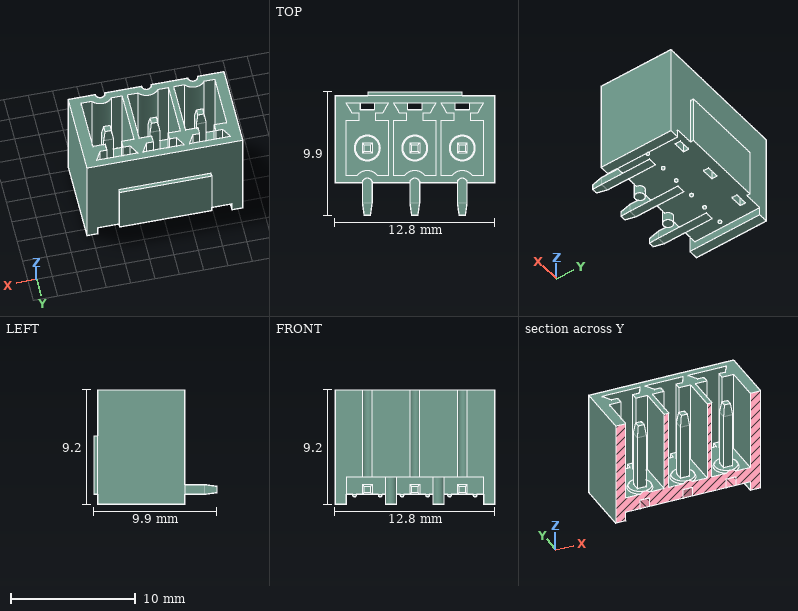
import cadquery as cq

pole_count = 3
pitch = 3.81
pole_offset = -0.02
pole_xs = [pole_offset + (i - (pole_count - 1) / 2) * pitch for i in range(pole_count)]
peg_xs = [(a + b) / 2 for a, b in zip(pole_xs, pole_xs[1:])]

housing_width = 12.82
housing_depth = 7.0
housing_height = 9.2
standoff = 0.8
side_wall = 0.9

flange_width = 7.58
flange_thickness = 0.3
flange_top = 5.5

recess_top = 2.2
recess_depth = 0.5
peg_diameter = 0.9
peg_y = recess_depth

cavity_floor = recess_top
cavity_width = 3.38
well_front = 0.6
well_back = 5.0
neck_width = 1.33
dovetail_front = 5.6
dovetail_back = 6.4
dovetail_narrow_width = 2.46

window_width = 1.13
window_length = 0.52

groove_radius = 0.39
rib_rise = 0.4
rib_width = 1.62

boss_diameter = 2.08
boss_top_diameter = 1.92
boss_height = 0.2

foot_diameter = 0.3
foot_spacing = 2.06
foot_y = housing_depth / 2
foot_straight = 0.05

pin_size = 0.8
pin_tip_size = 0.52
pin_tip_length = 1.0
pin_post_y = 2.8
pin_top = 8.2
pin_tail_reach = 2.6
pin_tail_z = standoff + pin_size / 2


def box(x, y, z):
    """Box between pairs of limits along each axis."""
    size = [limits[1] - limits[0] for limits in (x, y, z)]
    return cq.Workplane("XY").box(*size, centered=False).translate((x[0], y[0], z[0]))


def centred_box(x, width, y, z):
    """Box centred on x, between limits along Y and Z."""
    return box((x - width / 2, x + width / 2), y, z)


def tapered_bar(plane, length):
    """Square bar along the plane's normal, ending in a tapered tip."""
    straight = length - pin_tip_length
    bar = cq.Workplane(plane).rect(pin_size, pin_size).extrude(straight)
    tip = (
        cq.Workplane(plane)
        .workplane(offset=straight)
        .rect(pin_size, pin_size)
        .workplane(offset=pin_tip_length)
        .rect(pin_tip_size, pin_tip_size)
        .loft(combine=True)
    )
    return bar.union(tip)


def make_pin(x):
    post_plane = cq.Plane((x, pin_post_y, standoff), (1, 0, 0), (0, 0, 1))
    tail_start = pin_post_y + pin_size / 2
    tail_plane = cq.Plane((x, tail_start, pin_tail_z), (1, 0, 0), (0, -1, 0))
    post = tapered_bar(post_plane, pin_top - standoff)
    tail = tapered_bar(tail_plane, tail_start + pin_tail_reach)
    return post.union(tail)


def make_cavity(x):
    half_well = cavity_width / 2
    half_neck = neck_width / 2
    half_narrow = dovetail_narrow_width / 2
    half_rib = rib_width / 2
    return (
        cq.Workplane("XY", origin=(x, 0, cavity_floor))
        .moveTo(-half_well, well_front)
        .lineTo(-half_rib, well_front)
        .threePointArc((0, well_front + rib_rise), (half_rib, well_front))
        .lineTo(half_well, well_front)
        .lineTo(half_well, well_back)
        .lineTo(half_neck, well_back)
        .lineTo(half_neck, dovetail_front)
        .lineTo(half_narrow, dovetail_front)
        .lineTo(half_well, dovetail_back)
        .lineTo(-half_well, dovetail_back)
        .lineTo(-half_narrow, dovetail_front)
        .lineTo(-half_neck, dovetail_front)
        .lineTo(-half_neck, well_back)
        .lineTo(-half_well, well_back)
        .close()
        .extrude(housing_height - cavity_floor)
    )


def make_boss(x):
    return (
        cq.Workplane("XY", origin=(x, pin_post_y, cavity_floor))
        .circle(boss_diameter / 2)
        .workplane(offset=boss_height)
        .circle(boss_top_diameter / 2)
        .loft(combine=True)
    )


def make_foot(x):
    """Short round foot ending in a half ball."""
    radius = foot_diameter / 2
    straight_end = standoff - foot_straight
    foot = cq.Workplane("XY", origin=(x, foot_y, straight_end)).circle(radius).extrude(foot_straight)
    return foot.union(cq.Workplane("XY", origin=(x, foot_y, straight_end)).sphere(radius))


def make_housing(pins):
    inner_width = housing_width - 2 * side_wall
    body = centred_box(0, housing_width, (0, housing_depth), (0, housing_height))
    body = body.cut(centred_box(0, inner_width, (0, housing_depth), (0, standoff)))
    body = body.cut(centred_box(0, inner_width, (0, recess_depth), (0, recess_top)))
    flange_y = (housing_depth, housing_depth + flange_thickness)
    body = body.union(centred_box(0, flange_width, flange_y, (standoff, flange_top)))

    for x in pole_xs:
        groove_height = housing_height - recess_top
        groove = cq.Workplane("XY", origin=(x, 0, recess_top)).circle(groove_radius).extrude(groove_height)
        window_y = (dovetail_back - window_length, dovetail_back)
        window = centred_box(x, window_width, window_y, (standoff, cavity_floor))
        body = body.cut(groove).cut(make_cavity(x)).cut(window)
        body = body.union(make_boss(x))
        for side in (-1, 1):
            body = body.union(make_foot(x + side * foot_spacing / 2))

    for x in peg_xs:
        peg = cq.Workplane("XY", origin=(x, peg_y, 0)).circle(peg_diameter / 2).extrude(recess_top)
        body = body.union(peg)

    for pin in pins:
        body = body.cut(pin)
    return body


pins = [make_pin(x) for x in pole_xs]
housing = make_housing(pins)

result = cq.Compound.makeCompound([housing.val(), *[pin.val() for pin in pins]])